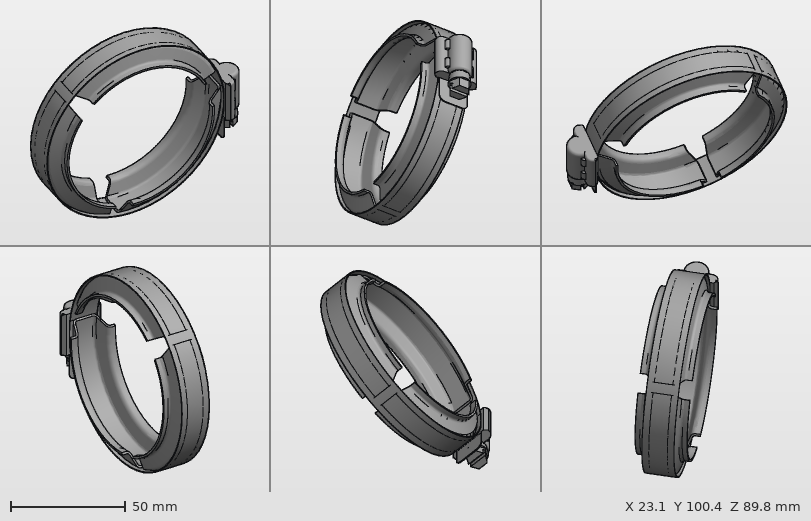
import cadquery as cq
import math


strap_inner_radius = 88.9 / 2
strap_thickness = 0.45
strap_width = 14.2
strap_outer_radius = strap_inner_radius + strap_thickness
tail_end_z = -22.8
tail_corner_radius = 3.0

sheet = 1.0
lip_outer_radius = 37.2
segment_width = 23.1
base_flat_width = 8.2
leg_slope = math.radians(20)
bend_inside = 1.4
bend_outside = bend_inside + sheet

segment_ends = [
    (0, 16.4, 150, 12.4),
    (120, 15.1, 270, 12.4),
    (240, 14.9, 390, 16.1),
]

housing_bottom = strap_inner_radius
housing_top_z = 10.1
housing_bottom_z = -10.2
plate_thickness = 1.7
plate_bottom_width = 17.5
plate_top_width = 21.1
wing_width = 20.5
wing_height = 3.3
wing_shoulder = 3.0
wing_end_round = 0.9
plate_end_chamfer = 1.2
dome_radius = 5.5
dome_end_round = 1.5
overall_depth = 100.4
screw_axis_y = overall_depth - strap_outer_radius - dome_radius
tab_width = 14.2
tab_height = 1.6
tab_round = 1.7
tab_length = 4.9
tab_centers_z = [5.2, -5.2]

collar_length = 4.5
collar_top_radius = 4.5
collar_bottom_radius = 5.0
hex_across_flats = 8.2
hex_turn = 30
hex_length = 4.7
slot_width = 1.5
slot_depth = 3.0


def offset_point(center, distance, angle):
    """Point at a distance and an angle (radians) from a center."""
    return (center[0] + distance * math.cos(angle), center[1] + distance * math.sin(angle))


def mirrored(point):
    return (-point[0], point[1])


def segment_ring():
    """Full ring of the V section, before the gaps are cut."""
    upright = math.pi / 2
    middle = (leg_slope + upright) / 2
    base_bend = (base_flat_width / 2, strap_inner_radius - bend_outside)
    bend_drop = base_bend[1] - (lip_outer_radius + bend_inside)
    bend_span = bend_outside + bend_inside
    leg_length = (bend_drop + bend_span * math.sin(leg_slope)) / math.cos(leg_slope)
    bend_spacing = bend_span * math.cos(leg_slope) + leg_length * math.sin(leg_slope)
    lip_bend = (base_bend[0] + bend_spacing, lip_outer_radius + bend_inside)

    def bend_arc(center, radius):
        return [offset_point(center, radius, angle) for angle in (upright, middle, leg_slope)]

    outer_base = bend_arc(base_bend, bend_outside)
    inner_base = bend_arc(base_bend, bend_inside)
    outer_lip = bend_arc(lip_bend, -bend_inside)
    inner_lip = bend_arc(lip_bend, -bend_outside)
    lip_end = segment_width / 2

    profile = (
        cq.Workplane("XY")
        .moveTo(*mirrored(outer_base[0]))
        .lineTo(*outer_base[0])
        .threePointArc(outer_base[1], outer_base[2])
        .lineTo(*outer_lip[2])
        .threePointArc(outer_lip[1], outer_lip[0])
        .lineTo(lip_end, lip_outer_radius)
        .lineTo(lip_end, lip_outer_radius - sheet)
        .lineTo(*inner_lip[0])
        .threePointArc(inner_lip[1], inner_lip[2])
        .lineTo(*inner_base[2])
        .threePointArc(inner_base[1], inner_base[0])
        .lineTo(*mirrored(inner_base[0]))
        .threePointArc(mirrored(inner_base[1]), mirrored(inner_base[2]))
        .lineTo(*mirrored(inner_lip[2]))
        .threePointArc(mirrored(inner_lip[1]), mirrored(inner_lip[0]))
        .lineTo(-lip_end, lip_outer_radius - sheet)
        .lineTo(-lip_end, lip_outer_radius)
        .lineTo(*mirrored(outer_lip[0]))
        .threePointArc(mirrored(outer_lip[1]), mirrored(outer_lip[2]))
        .lineTo(*mirrored(outer_base[2]))
        .threePointArc(mirrored(outer_base[1]), mirrored(outer_base[0]))
        .close()
    )
    return profile.revolve(360, (0, 0, 0), (1, 0, 0))


def cut_point(direction, offset, radius):
    """Point on an end cut at a given radius from the band axis."""
    angle = math.radians(direction) + math.asin(offset / radius)
    return offset_point((0, 0), radius, angle)


def gap(end_direction, end_offset, start_direction, start_offset):
    """Prism of the gap between one segment's end and the next one's start."""
    inside = lip_outer_radius - 2 * sheet
    outside = strap_outer_radius
    return (
        cq.Workplane("YZ")
        .polyline([
            cut_point(end_direction, -end_offset, inside),
            cut_point(end_direction, -end_offset, outside),
            cut_point(start_direction, start_offset, outside),
            cut_point(start_direction, start_offset, inside),
        ])
        .close()
        .extrude(segment_width, both=True)
    )


def segments():
    body = segment_ring()
    for index, (_, _, end_direction, end_offset) in enumerate(segment_ends):
        start_direction, start_offset, _, _ = segment_ends[(index + 1) % len(segment_ends)]
        body = body.cut(gap(end_direction, end_offset, start_direction, start_offset))
    return body


def strap():
    """Closed strap ring with its straight tail running down past the housing."""
    ring = (
        cq.Workplane("YZ")
        .circle(strap_outer_radius)
        .circle(strap_inner_radius)
        .extrude(strap_width / 2, both=True)
    )
    tail = (
        cq.Workplane("XY")
        .box(strap_width, strap_thickness, -tail_end_z, centered=(True, False, False))
        .translate((0, strap_inner_radius, tail_end_z))
        .edges("|Y and <Z")
        .fillet(tail_corner_radius)
    )
    return ring.union(tail)


def housing_block(width, y_min, y_max, z_min=housing_bottom_z, z_max=housing_top_z):
    """Box centered on X between two Y faces, as long as the housing by default."""
    return (
        cq.Workplane("XY")
        .box(width, y_max - y_min, z_max - z_min, centered=(True, False, False))
        .translate((0, y_min, z_min))
    )


def housing():
    length = housing_top_z - housing_bottom_z
    plate_top = housing_bottom + plate_thickness
    wing_top = plate_top + wing_height
    plate = (
        cq.Workplane("XY", origin=(0, 0, housing_bottom_z))
        .polyline([
            (-plate_bottom_width / 2, housing_bottom),
            (plate_bottom_width / 2, housing_bottom),
            (plate_top_width / 2, plate_top),
            (-plate_top_width / 2, plate_top),
        ])
        .close()
        .extrude(length)
    )
    plate = plate.intersect(
        housing_block(plate_top_width, housing_bottom, plate_top)
        .edges("|Y and >Z")
        .chamfer(plate_end_chamfer)
    )
    wings = (
        housing_block(wing_width, plate_top, wing_top)
        .edges("|Z and >Y")
        .fillet(wing_shoulder)
        .faces(">Z").edges("not <Y")
        .fillet(wing_end_round)
    )
    dome = (
        cq.Workplane("XY", origin=(0, screw_axis_y, housing_bottom_z))
        .circle(dome_radius)
        .extrude(length)
        .edges()
        .fillet(dome_end_round)
        .intersect(housing_block(plate_top_width, plate_top, screw_axis_y + dome_radius))
    )
    body = plate.union(wings).union(dome)
    for center_z in tab_centers_z:
        tab = (
            housing_block(
                tab_width,
                plate_top,
                wing_top + tab_height,
                center_z - tab_length / 2,
                center_z + tab_length / 2,
            )
            .edges("|Z and >Y")
            .fillet(tab_round)
        )
        body = body.union(tab)
    return body


def screw_head():
    """Tapered collar and slotted hexagon head below the housing."""
    collar_bottom_z = housing_bottom_z - collar_length
    head_bottom_z = collar_bottom_z - hex_length
    taper = math.degrees(math.atan((collar_bottom_radius - collar_top_radius) / collar_length))
    collar = (
        cq.Workplane("XY", origin=(0, screw_axis_y, collar_bottom_z))
        .circle(collar_bottom_radius)
        .extrude(collar_length, taper=taper)
    )
    hexagon = (
        cq.Workplane("XY", origin=(0, screw_axis_y, head_bottom_z))
        .transformed(rotate=(0, 0, hex_turn))
        .polygon(6, hex_across_flats, circumscribed=True)
        .extrude(hex_length)
    )
    slot = (
        cq.Workplane("XY", origin=(0, screw_axis_y, head_bottom_z))
        .rect(2 * hex_across_flats, slot_width)
        .extrude(slot_depth)
    )
    return collar.union(hexagon.cut(slot))


result = strap().union(segments()).union(housing()).union(screw_head())